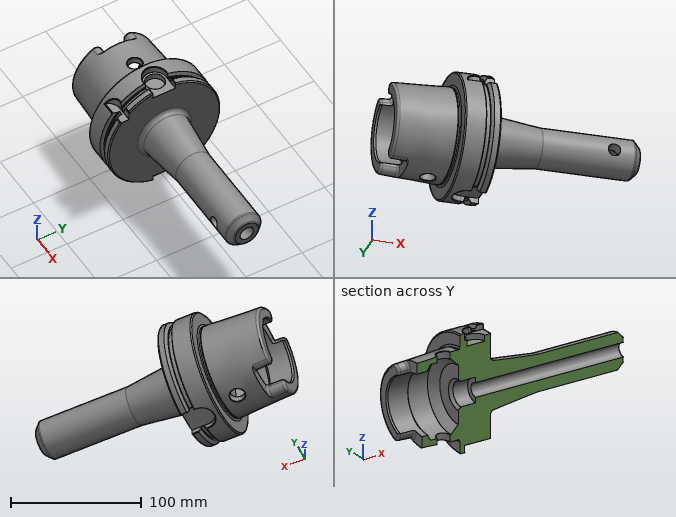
import cadquery as cq
import math


total_length = 202.5
flange_start = 50.0
flange_end = 79.0
neck_start = 83.0
shank_start = 122.7

taper_radius = 76.0 / 2
taper_slope = 0.05
taper_end = flange_start - 2.5
tail_radius = taper_radius - taper_slope * taper_end
relief_radius = 75.5 / 2
relief_lead = 0.6
relief_corner_x = 0.6
relief_corner_r = 1.8

flange_radius = 100.0 / 2
face_chamfer = 1.0
end_chamfer = 1.0
groove_floor_radius = 45.7
groove_shoulder_radius = 47.2
groove_left = 67.8
groove_right = 71.2
groove_left_slope = 1.2
groove_right_slope = 2.0
groove_corner = 0.5

neck_root_radius = 24.0
neck_radius = 20.6
shank_radius = 31.8 / 2
tip_round_start = 196.3
tip_cone_start = (197.5, 15.4)
tip_cone_end = (201.5, 11.3)
tip_face_radius = 10.3

mouth_chamfer = 0.6
mouth_chamfer_length = 1.6
mouth_radius = 53.0 / 2
undercut_radius = 63.0 / 2
undercut_start = 20.2
undercut_angle = 60.0
cavity_floor = 48.5
cavity_floor_radius = 24.7
tube_sink_radius = 26.0 / 2
tube_bore_radius = 21.0 / 2
tube_bore_depth = 16.2
coolant_radius = 12.0 / 2

notch_width = 20.0
notch_depth_top = 10.0
notch_depth_bottom = 15.0
notch_corner_radius = 5.0
tail_round = 2.0
notch_floor_round = 1.8

cutter_radius = notch_width / 2
slot_edge_break = 0.5
slot_center_x = 65.0
slot_floor = 44.0
pocket_diameter = 16.0
pocket_depth = 5.0
orientation_edge = 31.4
clamp_hole_diameter = 12.0
clamp_hole_break = 0.5
clamp_hole_x = 35.0
pin_hole_diameter = 9.7
pin_hole_x = 180.0


def revolve_about_x(outline):
    return outline.close().revolve(360, (0, 0, 0), (1, 0, 0))


def turned_body():
    """Outer shape: taper, relief, plain flange, conical neck and shank."""
    root_x = neck_start - flange_end
    root_r = neck_root_radius - neck_radius
    root_mid = (
        flange_end + root_x * (1 - math.cos(math.pi / 4)),
        neck_root_radius - root_r * math.sin(math.pi / 4),
    )
    outline = (
        cq.Workplane("XY")
        .lineTo(0, tail_radius)
        .lineTo(taper_end, taper_radius)
        .lineTo(taper_end + relief_lead, relief_radius)
        .lineTo(flange_start - relief_corner_x, relief_radius)
        .lineTo(flange_start, relief_radius + relief_corner_r)
        .lineTo(flange_start, flange_radius - face_chamfer)
        .lineTo(flange_start + face_chamfer, flange_radius)
        .lineTo(flange_end - end_chamfer, flange_radius)
        .lineTo(flange_end, flange_radius - end_chamfer)
        .lineTo(flange_end, neck_root_radius)
        .threePointArc(root_mid, (neck_start, neck_radius))
        .lineTo(shank_start, shank_radius)
        .lineTo(tip_round_start, shank_radius)
        .tangentArcPoint(tip_cone_start, relative=False)
        .lineTo(*tip_cone_end)
        .lineTo(total_length, tip_face_radius)
        .lineTo(total_length, 0)
    )
    return revolve_about_x(outline)


def gripper_groove():
    """Ring that cuts the V-sided groove around the flange."""
    outline = (
        cq.Workplane("XY")
        .moveTo(groove_left - groove_left_slope, flange_radius)
        .lineTo(groove_left, groove_shoulder_radius)
        .lineTo(groove_left, groove_floor_radius + groove_corner)
        .lineTo(groove_left + groove_corner, groove_floor_radius)
        .lineTo(groove_right, groove_floor_radius)
        .lineTo(groove_right, groove_shoulder_radius)
        .lineTo(groove_right + groove_right_slope, flange_radius)
        .lineTo(groove_right + groove_right_slope, flange_radius + 2)
        .lineTo(groove_left - groove_left_slope, flange_radius + 2)
    )
    return revolve_about_x(outline)


def axial_bore():
    """Undercut clamping cavity, coolant tube seat and through bore."""
    undercut_rise = undercut_radius - mouth_radius
    undercut_full = undercut_start + undercut_rise / math.tan(math.radians(undercut_angle))
    floor_cone_start = cavity_floor - (undercut_radius - cavity_floor_radius)
    sink_depth = tube_sink_radius - tube_bore_radius
    outline = (
        cq.Workplane("XY")
        .lineTo(0, mouth_radius + mouth_chamfer)
        .lineTo(mouth_chamfer_length, mouth_radius)
        .lineTo(undercut_start, mouth_radius)
        .lineTo(undercut_full, undercut_radius)
        .lineTo(floor_cone_start, undercut_radius)
        .lineTo(cavity_floor, cavity_floor_radius)
        .lineTo(cavity_floor, tube_sink_radius)
        .lineTo(cavity_floor + sink_depth, tube_bore_radius)
        .lineTo(cavity_floor + tube_bore_depth, tube_bore_radius)
        .lineTo(cavity_floor + tube_bore_depth, coolant_radius)
        .lineTo(total_length, coolant_radius)
        .lineTo(total_length, 0)
    )
    return revolve_about_x(outline)


def tail_notch(depth, side):
    """Notch in the tail rim; side is +1 for the top and -1 for the bottom."""
    height = 2 * tail_radius
    return (
        cq.Workplane("XY")
        .box(2 * depth, notch_width, height)
        .translate((0, 0, side * height / 2))
    )


def near_notch_walls(x_from, x_to, side):
    """Select the edges centred near both walls of one notch."""
    reach = notch_width / 2 + 0.2
    selectors = [
        cq.selectors.BoxSelector(
            (x_from, end * (reach - 0.5), side * 2.0),
            (x_to, end * reach, side * (tail_radius + 2)),
        )
        for end in (1, -1)
    ]
    return selectors[0] + selectors[1]


def cut_tail_notches(body):
    """Cut both notches, then round the rim corners, the notch floors and the tail edge."""
    for depth, side in ((notch_depth_top, 1), (notch_depth_bottom, -1)):
        body = body.cut(tail_notch(depth, side))
        rim_corners = near_notch_walls(0.2, depth - 0.2, side)
        body = body.edges(rim_corners).fillet(notch_corner_radius)
    for depth, side in ((notch_depth_top, 1), (notch_depth_bottom, -1)):
        floor_corners = near_notch_walls(depth - 0.2, depth + 0.2, side)
        body = body.edges(floor_corners).fillet(notch_floor_round)
    return body.faces("<X").edges().fillet(tail_round)


def flange_slot():
    """Round-ended slot cutter that runs out past the flange's far face."""
    run = 2 * (flange_end - slot_center_x)
    round_end = cq.Workplane("XY").circle(cutter_radius).extrude(flange_radius)
    straight = (
        cq.Workplane("XY")
        .center(run / 2, 0)
        .rect(run, 2 * cutter_radius)
        .extrude(flange_radius)
    )
    return round_end.union(straight).translate((slot_center_x, 0, 0))


def is_slot_rim_edge(edge):
    """True for a straight slot edge lying on the flange's outer cylinder, off the X-Y plane."""
    middle = edge.Center()
    return abs(middle.z) > 2.0 and math.hypot(middle.y, middle.z) > flange_radius - 0.02


def cut_flange_slots(body):
    """Cut the two drive slots and the corner notch and break their outer edges."""
    slot = flange_slot()
    body = body.cut(slot.translate((0, 0, slot_floor)))
    body = body.cut(slot.translate((0, 0, -slot_floor - flange_radius)))
    body = body.cut(slot.translate((0, -orientation_edge - cutter_radius, orientation_edge)))
    return body.edges("|X").filter(is_slot_rim_edge).chamfer(slot_edge_break)


def vertical_hole(diameter, x, z_from, length):
    return cq.Workplane("XY", origin=(x, 0, z_from)).circle(diameter / 2).extrude(length)


def cut_clamp_hole(body):
    """Cross hole through the taper wall, with both outer edges broken."""
    body = body.cut(vertical_hole(clamp_hole_diameter, clamp_hole_x, -flange_radius, 2 * flange_radius))
    reach = clamp_hole_diameter / 2 + 0.2
    hole_edges = cq.selectors.BoxSelector(
        (clamp_hole_x - reach, -reach, -taper_radius),
        (clamp_hole_x + reach, reach, taper_radius),
        boundingbox=True,
    )
    return body.edges(hole_edges).edges("not %LINE").chamfer(clamp_hole_break)


result = cut_tail_notches(turned_body())
result = cut_clamp_hole(result)
result = cut_flange_slots(result)
result = result.cut(gripper_groove()).cut(axial_bore())
result = result.cut(vertical_hole(pocket_diameter, slot_center_x, slot_floor - pocket_depth, pocket_depth))
pin_hole = cq.Workplane("XZ", origin=(pin_hole_x, 0, 0)).circle(pin_hole_diameter / 2).extrude(shank_radius)
result = result.cut(pin_hole)